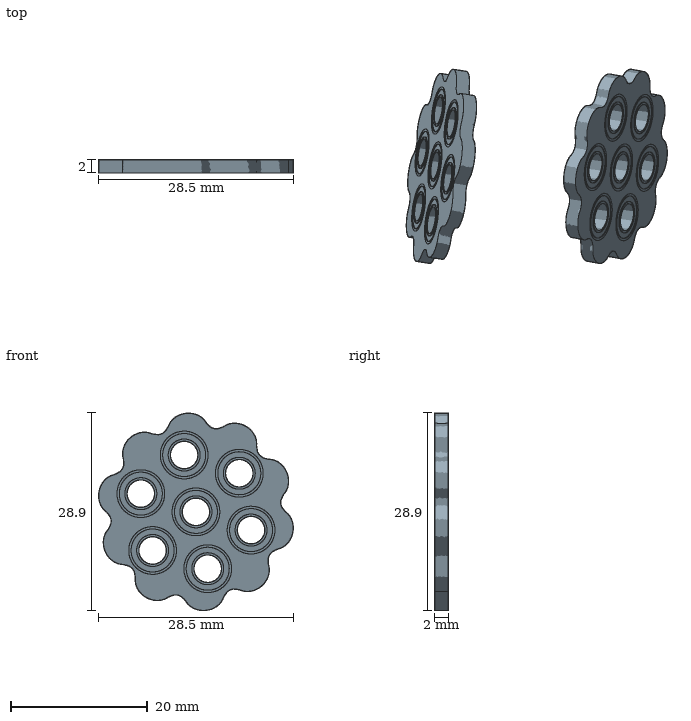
import cadquery as cq
import math


ring_pin_circle_radius = 15.0
ring_pin_radius = 1.5
eccentricity = 1.0
lobe_count = 10
valley_angle = 41.7
disc_thickness = 2.0

outer_bearing_count = 6
bearing_circle_radius = 8.5
bearing_start_angle = valley_angle

bearing_outer_diameter = 7.0
bearing_bore_diameter = 4.0
race_wall = 0.35
groove_depth = 0.1

bearing_width = disc_thickness
groove_outer_diameter = bearing_outer_diameter - 2 * race_wall
groove_inner_diameter = bearing_bore_diameter + 2 * race_wall

profile_points_per_lobe = 24


def sketch_at(y):
    """Sketch plane facing -Y, with sketch x along +X and sketch y along +Z; extrudes toward -Y."""
    return cq.Workplane("XZ", origin=(0, y, 0))


def cycloid_point(turn):
    """Point of the disc edge for a roll position from 0 to 1: an epitrochoid offset by the pin radius."""
    roll = 2 * math.pi * turn
    ring_pin_count = lobe_count + 1
    fast_roll = ring_pin_count * roll
    x = ring_pin_circle_radius * math.cos(roll) - eccentricity * math.cos(fast_roll)
    z = ring_pin_circle_radius * math.sin(roll) - eccentricity * math.sin(fast_roll)

    tangent_x = -ring_pin_circle_radius * math.sin(roll) + ring_pin_count * eccentricity * math.sin(fast_roll)
    tangent_z = ring_pin_circle_radius * math.cos(roll) - ring_pin_count * eccentricity * math.cos(fast_roll)
    tangent_length = math.hypot(tangent_x, tangent_z)
    x -= ring_pin_radius * tangent_z / tangent_length
    z += ring_pin_radius * tangent_x / tangent_length

    turn_angle = math.radians(valley_angle)
    return (
        x * math.cos(turn_angle) - z * math.sin(turn_angle),
        x * math.sin(turn_angle) + z * math.cos(turn_angle),
    )


def bearing_centres():
    """(x, z) of every bearing axis."""
    centres = [(0, 0)]
    for index in range(outer_bearing_count):
        angle = math.radians(bearing_start_angle + index * 360 / outer_bearing_count)
        centres.append((bearing_circle_radius * math.cos(angle), bearing_circle_radius * math.sin(angle)))
    return centres


def make_disc():
    """Lobed disc with a through seat for each bearing."""
    point_count = lobe_count * profile_points_per_lobe
    edge_points = [cycloid_point(index / point_count) for index in range(point_count)]
    disc = sketch_at(disc_thickness / 2).spline(edge_points, periodic=True).close().extrude(disc_thickness)
    seats = (
        sketch_at(disc_thickness / 2)
        .pushPoints(bearing_centres())
        .circle(bearing_outer_diameter / 2)
        .extrude(disc_thickness)
    )
    return disc.cut(seats)


def make_bearing(x, z):
    """Bearing ring with its axis along Y through (x, z), grooved on both faces."""
    bearing = (
        sketch_at(bearing_width / 2)
        .circle(bearing_outer_diameter / 2)
        .circle(bearing_bore_diameter / 2)
        .extrude(bearing_width)
    )
    for groove_back in (-bearing_width / 2 + groove_depth, bearing_width / 2):
        groove = (
            sketch_at(groove_back)
            .circle(groove_outer_diameter / 2)
            .circle(groove_inner_diameter / 2)
            .extrude(groove_depth)
        )
        bearing = bearing.cut(groove)
    return bearing.translate((x, 0, z))


disc = make_disc()
bearings = [make_bearing(x, z) for x, z in bearing_centres()]

result = cq.Compound.makeCompound([disc.val(), *[bearing.val() for bearing in bearings]])